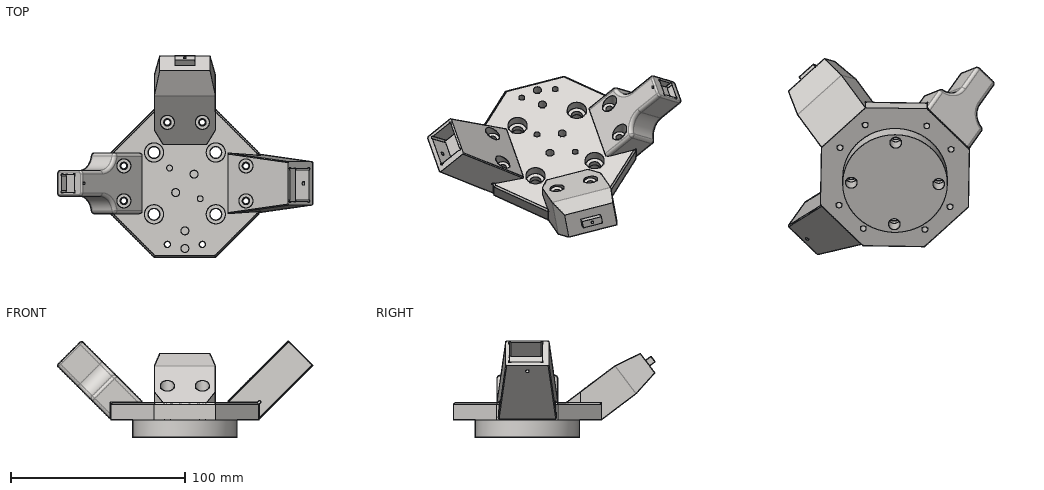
import cadquery as cq
import math

disc_diameter = 60.0
disc_thickness = 10.0
plate_sides = 8
plate_width = 85.0
plate_thickness = 10.0
plate_chamfer = 1.0
plate_top = disc_thickness + plate_thickness
plate_edge = plate_width / 2

bolt_spacing = 35.5
bolt_diameter = 6.6
bolt_head_diameter = 11.0
bolt_head_depth = 6.5

screw_radius = 35.0
screw_spacing = 20.0
screw_thread_diameter = 3.4
screw_clearance_diameter = 4.2
screw_head_diameter = 8.0
screw_seat_thickness = 5.0

dowel_diameter = 4.5
dowel_depth = 7.0
side_dowel_positions = [(0, -27.3), (0, -37.4)]
centre_dowel_offset = 5.3
pin_hole_diameter = 3.4
pin_hole_offset = 8.8

arm_width = 35.0
arm_thickness = 20.0
arm_root = -36.6
seat_gap = 0.3
side_tilt = 45.0
side_arm_root = 24.6
side_arm_end = 36.9
side_arm_top = 13.2
side_arm_bottom = side_arm_top - arm_thickness

neck_width = 15.0
neck_start = 20.0
edge_fillet = 2.0
end_fillet = 1.0
narrow_pocket_length = 10.3
narrow_pocket_height = 10.3
narrow_pocket_depth = 4.0
narrow_pocket_centre = 2.2

taper_end_width = 24.9
taper_start = -13.2
long_edge_chamfer = 0.6
notch_relief_diameter = 1.5
wide_pocket_length = 19.0
wide_pocket_height = 15.7
wide_pocket_depth = 11.3
wide_pocket_centre = 4.0
wide_pocket_shift = -0.9
wide_pin_inset = 4.7

pocket_relief_diameter = 1.5
pocket_relief_inset = 0.3
narrow_pin_diameter = 1.5
wide_pin_diameter = 2.0
tab_hole_diameter = 1.5

nose_tilt = 37.0
nose_arm_end = 34.7
nose_start = 18.9
nose_inset = 3.1
nose_arm_top = 12.2
nose_arm_bottom = nose_arm_top - arm_thickness
root_corner_width = 5.0
root_corner_length = 8.2
tab_width = 11.5
tab_thickness = 4.0
tab_length = 4.0


def box_between(x_range, y_range, z_range):
    """Box that fills the given coordinate ranges."""
    sizes = [high - low for low, high in (x_range, y_range, z_range)]
    corner = (x_range[0], y_range[0], z_range[0])
    return cq.Workplane("XY").box(*sizes, centered=False).translate(corner)


def vertical_cylinders(points, diameter, bottom, top):
    return (
        cq.Workplane("XY", origin=(0, 0, bottom))
        .pushPoints(points)
        .circle(diameter / 2)
        .extrude(top - bottom)
    )


def bolt_points():
    return [(sx * bolt_spacing / 2, sy * bolt_spacing / 2) for sx in (-1, 1) for sy in (-1, 1)]


def screw_pair():
    """Screw positions of an arm that leans out over the +X side."""
    return [(screw_radius, side * screw_spacing / 2) for side in (-1, 1)]


def make_disc():
    disc = cq.Workplane("XY").circle(disc_diameter / 2).extrude(disc_thickness)
    return disc.cut(vertical_cylinders(bolt_points(), bolt_diameter, 0, disc_thickness))


def make_plate():
    flat_angle = 360 / plate_sides / 2
    corner_diameter = plate_width / math.cos(math.radians(flat_angle))
    plate = (
        cq.Workplane("XY")
        .polygon(plate_sides, corner_diameter)
        .extrude(plate_thickness)
        .rotate((0, 0, 0), (0, 0, 1), flat_angle)
        .translate((0, 0, disc_thickness))
        .faces(">Z")
        .chamfer(plate_chamfer)
    )
    plate = plate.cut(vertical_cylinders(bolt_points(), bolt_diameter, disc_thickness, plate_top))
    head_floor = plate_top - bolt_head_depth
    plate = plate.cut(vertical_cylinders(bolt_points(), bolt_head_diameter, head_floor, plate_top))

    threads = vertical_cylinders(screw_pair(), screw_thread_diameter, disc_thickness, plate_top)
    for quarter in range(4):
        plate = plate.cut(threads.rotate((0, 0, 0), (0, 0, 1), 90 * quarter))

    centre_dowels = [(side * centre_dowel_offset, side * centre_dowel_offset) for side in (-1, 1)]
    dowels = side_dowel_positions + centre_dowels
    plate = plate.cut(vertical_cylinders(dowels, dowel_diameter, plate_top - dowel_depth, plate_top))

    pins = [(side * pin_hole_offset, -side * pin_hole_offset) for side in (-1, 1)]
    return plate.cut(vertical_cylinders(pins, pin_hole_diameter, plate_top - dowel_depth, plate_top))


def lean(body, tilt):
    """Tilt a body from its arm frame and set it on the +X edge of the plate."""
    return body.rotate((0, 0, 0), (0, 1, 0), -tilt).translate((plate_edge, 0, plate_top))


def trim_to_plate(arm, gap, root):
    """Cut the notch that straddles the plate edge, and everything closer to the axis than the root."""
    reach = 2 * plate_width
    notch = box_between((-reach, plate_edge + gap), (-reach, reach), (-reach, plate_top + gap))
    inner_side = box_between((-reach, root), (-reach, reach), (-reach, reach))
    return arm.cut(notch).cut(inner_side)


def bore_screw_holes(arm):
    reach = plate_top + plate_width
    head_floor = plate_top + screw_seat_thickness
    arm = arm.cut(vertical_cylinders(screw_pair(), screw_clearance_diameter, plate_top, reach))
    return arm.cut(vertical_cylinders(screw_pair(), screw_head_diameter, head_floor, reach))


def end_pocket(length, height, depth, centre):
    """Rectangular pocket in the end face of a side arm, with round reliefs in its corners."""
    mouth = cq.Workplane("YZ", origin=(side_arm_end - depth, 0, centre))
    pocket = mouth.rect(length, height).extrude(depth)
    reliefs = (
        mouth.rect(length - 2 * pocket_relief_inset, height - 2 * pocket_relief_inset, forConstruction=True)
        .vertices()
        .circle(pocket_relief_diameter / 2)
        .extrude(depth)
    )
    return pocket.union(reliefs)


def make_narrow_arm():
    half_width = arm_width / 2
    half_neck = neck_width / 2
    shoulder = half_width - half_neck
    shoulder_start = neck_start - shoulder
    bulge = shoulder * math.sqrt(0.5)
    middle = (neck_start - bulge, half_width - bulge)

    arm = (
        cq.Workplane("XY", origin=(0, 0, side_arm_bottom))
        .moveTo(arm_root, -half_width)
        .lineTo(shoulder_start, -half_width)
        .threePointArc((middle[0], -middle[1]), (neck_start, -half_neck))
        .lineTo(side_arm_end, -half_neck)
        .lineTo(side_arm_end, half_neck)
        .lineTo(neck_start, half_neck)
        .threePointArc(middle, (shoulder_start, half_width))
        .lineTo(arm_root, half_width)
        .close()
        .extrude(arm_thickness)
    )
    shoulder_corners = cq.selectors.BoxSelector(
        (shoulder_start - 1.5, -arm_width, side_arm_bottom - 1.5),
        (shoulder_start + 1.5, arm_width, side_arm_top + 1.5),
    )
    arm = arm.edges("|Z").edges(shoulder_corners).fillet(edge_fillet)
    arm = arm.faces("<Z or >Z").edges("not(<X or >X)").fillet(edge_fillet)
    arm = arm.faces(">X").edges().fillet(end_fillet)

    arm = arm.cut(
        end_pocket(narrow_pocket_length, narrow_pocket_height, narrow_pocket_depth, narrow_pocket_centre)
    )
    pin = [(side_arm_end - narrow_pocket_depth / 2, 0)]
    arm = arm.cut(vertical_cylinders(pin, narrow_pin_diameter, narrow_pocket_centre, side_arm_top))

    arm = bore_screw_holes(trim_to_plate(lean(arm, side_tilt), seat_gap, side_arm_root))
    return arm.rotate((0, 0, 0), (0, 0, 1), 180)


def make_tapered_arm():
    half_width = arm_width / 2
    half_end = taper_end_width / 2
    taper_slope = (half_width - half_end) / (side_arm_end - taper_start)
    half_root = half_end + taper_slope * (side_arm_end - arm_root)

    arm = (
        cq.Workplane("XY", origin=(0, 0, side_arm_bottom))
        .polyline([
            (arm_root, -half_root),
            (side_arm_end, -half_end),
            (side_arm_end, half_end),
            (arm_root, half_root),
        ])
        .close()
        .extrude(arm_thickness)
        .faces("<Z or >Z")
        .edges("not(<X or >X)")
        .chamfer(long_edge_chamfer)
    )
    pocket = end_pocket(wide_pocket_length, wide_pocket_height, wide_pocket_depth, wide_pocket_centre)
    arm = arm.cut(pocket.translate((0, wide_pocket_shift, 0)))
    pin = [(side_arm_end - wide_pin_inset, 0)]
    arm = arm.cut(vertical_cylinders(pin, wide_pin_diameter, side_arm_bottom, wide_pocket_centre))

    arm = trim_to_plate(lean(arm, side_tilt), seat_gap, side_arm_root)
    notch_relief = (
        cq.Workplane("XZ", origin=(plate_edge + seat_gap, 0, plate_top + seat_gap))
        .circle(notch_relief_diameter / 2)
        .extrude(plate_width, both=True)
    )
    return bore_screw_holes(arm.cut(notch_relief))


def make_nosed_arm():
    middle_height = (nose_arm_top + nose_arm_bottom) / 2
    nose_length = nose_arm_end - nose_start
    nose_angle = math.degrees(math.atan(nose_inset / nose_length))
    arm = (
        cq.Workplane("YZ", origin=(arm_root, 0, middle_height))
        .rect(arm_width, arm_thickness)
        .extrude(nose_start - arm_root)
    )
    nose = (
        cq.Workplane("YZ", origin=(nose_start, 0, middle_height))
        .rect(arm_width, arm_thickness)
        .extrude(nose_length, taper=nose_angle)
    )
    root = plate_edge - nose_arm_top / math.sin(math.radians(nose_tilt))
    arm = trim_to_plate(lean(arm.union(nose), nose_tilt), 0, root)

    half_width = arm_width / 2
    for side in (-1, 1):
        corner = (
            cq.Workplane("XY", origin=(0, 0, plate_top))
            .polyline([
                (root, side * (half_width - root_corner_width)),
                (root + root_corner_length, side * half_width),
                (root, side * half_width),
            ])
            .close()
            .extrude(arm_thickness)
        )
        arm = arm.cut(corner)
    return bore_screw_holes(arm).rotate((0, 0, 0), (0, 0, 1), 90)


def make_tab():
    """Tab on the end face of the nosed arm, with a pin hole along it."""
    middle_height = (nose_arm_top + nose_arm_bottom) / 2
    tab = (
        cq.Workplane("YZ", origin=(nose_arm_end, 0, middle_height))
        .rect(tab_width, tab_thickness)
        .extrude(tab_length)
    )
    tab = tab.faces(">X").workplane().hole(tab_hole_diameter)
    return lean(tab, nose_tilt).rotate((0, 0, 0), (0, 0, 1), 90)


disc = make_disc()
plate = make_plate()
narrow_arm = make_narrow_arm()
tapered_arm = make_tapered_arm()
nosed_arm = make_nosed_arm()
tab = make_tab()

result = cq.Compound.makeCompound([
    disc.val(),
    plate.val(),
    narrow_arm.val(),
    tapered_arm.val(),
    nosed_arm.val(),
    tab.val(),
])